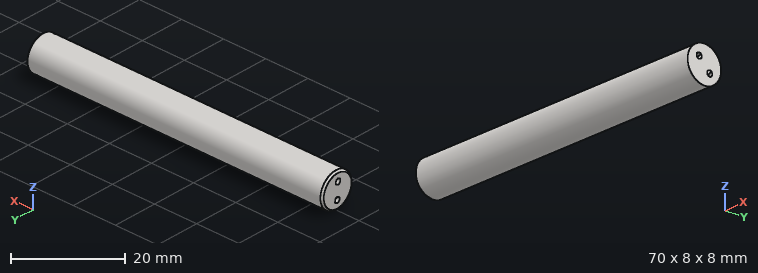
import math
import cadquery as cq

rod_length = 70.0
rod_diameter = 8.0
end_chamfer = 0.4
hole_diameter = 1.2
hole_spacing = 3.65
first_hole_angle = 93.0
twist_angle = 30.0

helix_radius = hole_spacing / 2
twist_pitch = math.pi * rod_diameter / math.tan(math.radians(twist_angle))


def make_rod():
    """Solid rod along +X with a chamfered rim at its -X end."""
    rod = cq.Workplane("YZ").circle(rod_diameter / 2).extrude(rod_length)
    return rod.faces("<X").chamfer(end_chamfer)


def make_twisted_hole(start_angle):
    """Round cutter following a right-handed helix about the rod axis; 90 degrees starts it at +Z."""
    path = cq.Wire.makeHelix(twist_pitch, rod_length, helix_radius)
    cutter = cq.Workplane("XY").center(helix_radius, 0).circle(hole_diameter / 2)
    cutter = cutter.sweep(cq.Workplane(obj=path), isFrenet=True)
    cutter = cutter.rotate((0, 0, 0), (1, 1, 1), 120)
    return cutter.rotate((0, 0, 0), (1, 0, 0), start_angle)


result = make_rod()
for start_angle in (first_hole_angle, first_hole_angle + 180):
    result = result.cut(make_twisted_hole(start_angle))

result = result.translate((-rod_length / 2, 0, 0))